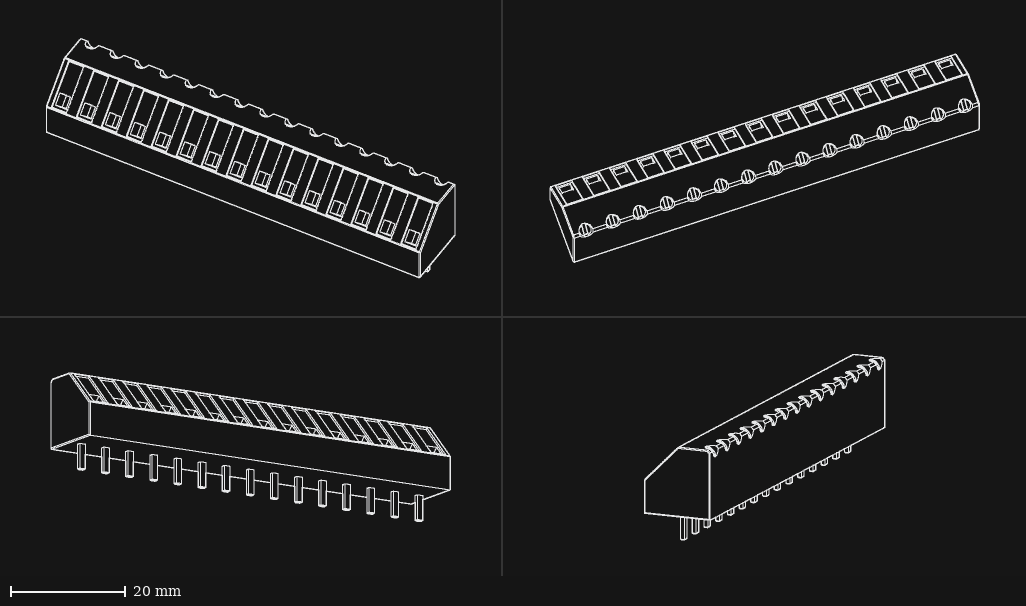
import cadquery as cq
import math

length = 75.0
depth = 12.5
housing_height = 12.5
slope_run = 6.45
end_chamfer = 0.19
slope_chamfer = 0.11
rear_chamfer = 0.45

pole_count = 15
pitch = length / pole_count
first_pole_x = pitch / 2

slope_normal = cq.Vector(0, -1, 1)
slope_length = slope_run * math.sqrt(2)
channel_width = 3.0
channel_depth = 0.4
channel_margin = 0.3

pocket_width = 2.1
pocket_length = 2.25
pocket_depth = 3.75
pocket_offset = 0.8

screw_hole_diameter = 2.5
screw_diameter = 2.2
screw_hole_depth = 1.9
screw_face_depth = 1.1
screw_inset = 0.15
screw_overlap = 0.15
screw_slot_width = 0.7
screw_slot_depth = 0.45

pin_width = 1.1
pin_thickness = 0.75
pin_length = 4.6
pin_y = 6.45
pin_tip_chamfer = 0.15

pole_positions = [first_pole_x + index * pitch for index in range(pole_count)]


def make_housing():
    """Extrude the side profile along X and bevel its edges."""
    profile = [
        (0, 0),
        (depth, 0),
        (depth, housing_height - rear_chamfer),
        (depth - rear_chamfer, housing_height),
        (slope_run, housing_height),
        (0, housing_height - slope_run),
    ]
    housing = cq.Workplane("YZ").polyline(profile).close().extrude(length)
    slope_face = housing.faces(cq.selectors.ParallelDirSelector(slope_normal))
    housing = slope_face.edges("|X").chamfer(slope_chamfer)
    return housing.faces("<X or >X").chamfer(end_chamfer)


def slope_plane(x):
    """Plane on the sloped face: origin at its lower edge, local Y running up the slope."""
    return cq.Plane(
        origin=(x, 0, housing_height - slope_run),
        xDir=(1, 0, 0),
        normal=slope_normal,
    )


def slope_cut(x, width, start, end, cut_depth):
    """Rectangular cutter sunk square to the slope between two distances up it."""
    return (
        cq.Workplane(slope_plane(x))
        .center(0, (start + end) / 2)
        .rect(width, end - start)
        .extrude(-cut_depth)
    )


def screw_workplane(x, sink):
    """Workplane facing up and rearward, sunk below the screw axis origin on the top plane."""
    plane = cq.Plane(
        origin=(x, depth - screw_inset, housing_height),
        xDir=(1, 0, 0),
        normal=(0, 1, 1),
    )
    return cq.Workplane(plane).workplane(offset=-sink)


def make_screw(x):
    """Screw filling the middle of its hole, with a slot across its face."""
    screw_length = screw_hole_depth - screw_face_depth + screw_overlap
    screw = screw_workplane(x, screw_face_depth).circle(screw_diameter / 2).extrude(-screw_length)
    slot = (
        screw_workplane(x, screw_face_depth)
        .rect(screw_slot_width, screw_hole_diameter)
        .extrude(-screw_slot_depth)
    )
    return screw.cut(slot)


def make_screw_hole(x):
    """Round cutter reaching from outside the edge to the bottom of the screw hole."""
    radius = screw_hole_diameter / 2
    return screw_workplane(x, screw_hole_depth).circle(radius).extrude(2 * screw_hole_depth)


def make_pin(x):
    """Rectangular solder pin below the housing with a bevelled tip."""
    return (
        cq.Workplane("XY")
        .center(x, pin_y)
        .rect(pin_width, pin_thickness)
        .extrude(-pin_length)
        .faces("<Z")
        .chamfer(pin_tip_chamfer)
    )


result = make_housing()
for pole_x in pole_positions:
    channel = slope_cut(
        pole_x, channel_width, channel_margin, slope_length - channel_margin, channel_depth
    )
    pocket = slope_cut(
        pole_x, pocket_width, pocket_offset, pocket_offset + pocket_length, pocket_depth
    )
    result = result.cut(channel).cut(pocket).cut(make_screw_hole(pole_x))
    result = result.union(make_screw(pole_x)).union(make_pin(pole_x))